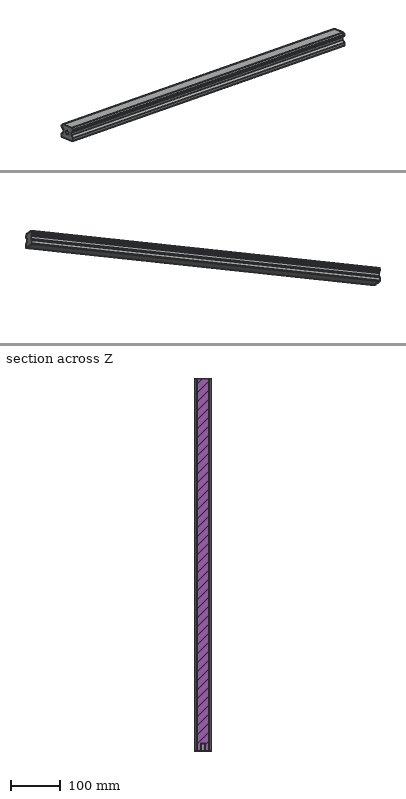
import cadquery as cq

length = 750.0
width = 34.0
height = 29.0
half_width = width / 2

foot_half_base = 15.5
foot_bevel_height = 1.5
foot_side_top = 7.5

neck_half_width = 12.25
neck_bottom = 12.25
neck_top = 17.75

head_side_bottom = 23.25
head_side_top = 25.5
half_top = 13.25

upper_groove_outer = (half_width, head_side_top)
upper_groove_inner = (13.75, 28.6)
lower_groove_outer = (15.5, 21.0)
lower_groove_inner = (13.25, 19.5)
groove_depth = 0.75

end_hole_diameter = 8.0
end_hole_depth = 15.0


def rail_body():
    """Rail section: one half is drawn from the mid-plane, extruded and mirrored."""
    half = (
        cq.Workplane("XZ")
        .moveTo(0, 0)
        .lineTo(foot_half_base, 0)
        .lineTo(half_width, foot_bevel_height)
        .lineTo(half_width, foot_side_top)
        .lineTo(neck_half_width, neck_bottom)
        .lineTo(neck_half_width, neck_top)
        .lineTo(*lower_groove_inner)
        .sagittaArc(lower_groove_outer, groove_depth)
        .lineTo(half_width, head_side_bottom)
        .lineTo(*upper_groove_outer)
        .sagittaArc(upper_groove_inner, groove_depth)
        .lineTo(half_top, height)
        .lineTo(0, height)
        .close()
        .extrude(length / 2, both=True)
    )
    return half.union(half.mirror("YZ")).clean()


def end_hole():
    """Cutter for the blind hole, running inward (+Y) from the front end."""
    return (
        cq.Workplane("XZ", origin=(0, -length / 2, height / 2))
        .circle(end_hole_diameter / 2)
        .extrude(-end_hole_depth)
    )


result = rail_body().cut(end_hole())